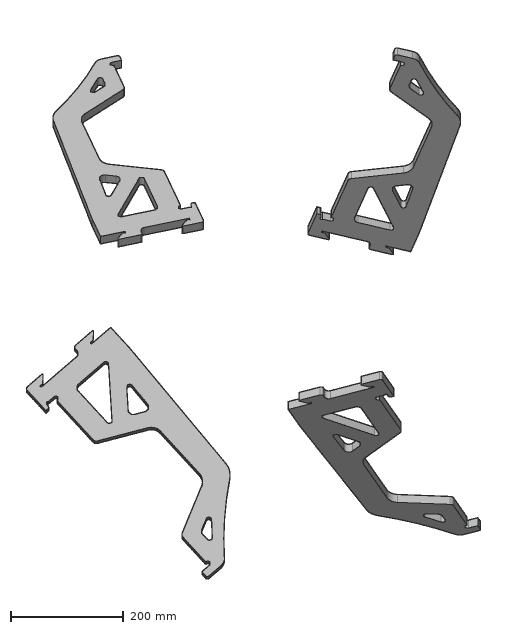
import cadquery as cq
import math

LENGTH = 475.0
HEIGHT = 188.0
THICKNESS = 18.0

SHELF_Y = 161.0
RECESS_FLOOR_Y = 61.0
RECESS_CENTER_X = 204.3
RECESS_FLOOR_WIDTH = 131.0
RECESS_WALL_ANGLE = math.atan(2.0)
RECESS_TOP_RADIUS = 8.0
RECESS_FLOOR_RADIUS = 22.0

LIP_WIDTH = 14.5
LIP_TOP_Y = 178.0
LIP_TOP_RADIUS = 4.0

STOP_X = 429.5
NOSE_REACH = 9.5
NOSE_TIP_Y = 180.6
NOSE_TIP_RADIUS = 3.0
NOSE_ROOT_Y = 177.0
NOSE_RELIEF_RADIUS = 2.5
NOSE_RELIEF_BITE = 1.3
NOSE_RELIEF_Y = 176.4

RELIEF_WIDTH = 8.5
RELIEF_DEPTH = 5.4

WALL_FACE_X = 458.0
HOOK_PITCH = 120.0
HOOK_SLOT_TOP_Y = 165.5
HOOK_SLOT_WIDTH = 3.0
HOOK_SLOT_DEPTH = 6.2
HOOK_LEAD_ANGLE = math.radians(45.0)
HOOK_TIP_RADIUS = 1.5
HOOK_SHOULDER_RADIUS = 4.5
LOWER_HOOK_TOP_Y = 73.5
LOWER_HOOK_ROOT_RADIUS = 8.0

FOOT_START_X = 408.0
UNDERSIDE_ANGLE = math.atan(0.05)
HOLLOW_CENTER = (-361.0, -337.0)
HOLLOW_RADIUS = 595.0
FOOT_BLEND_RADIUS = 80.0
HEEL_RADIUS = 31.0
LEFT_END_RADIUS = 20.0

NARROW_RIM = 30.0
WIDE_RIM = 40.0
BRACE_WIDTH = 30.0
BRACE_ANGLE = math.radians(38.3)
REAR_WINDOW_LOW_Y = 41.5
FRONT_WINDOW_LEFT_X = 38.8
FRONT_WINDOW_ANGLE = math.radians(39.7)
WINDOW_LARGE_RADIUS = 9.0
WINDOW_SMALL_RADIUS = 5.0

RECESS_HALF_FLOOR = RECESS_FLOOR_WIDTH / 2
RECESS_FLOOR_LEFT = (RECESS_CENTER_X - RECESS_HALF_FLOOR, RECESS_FLOOR_Y)
RECESS_FLOOR_RIGHT = (RECESS_CENTER_X + RECESS_HALF_FLOOR, RECESS_FLOOR_Y)
LEFT_WALL = (RECESS_FLOOR_LEFT, math.pi - RECESS_WALL_ANGLE)
RIGHT_WALL = (RECESS_FLOOR_RIGHT, RECESS_WALL_ANGLE)
UNDERSIDE = ((FOOT_START_X, 0.0), -UNDERSIDE_ANGLE)


def level(y):
    """Horizontal line pointing in +X."""
    return ((0.0, y), 0.0)


def upright(x):
    """Vertical line pointing in +Y."""
    return ((x, 0.0), math.pi / 2)


def offset(line, distance):
    """Parallel line, shifted to the right of its direction."""
    (x, y), angle = line
    return ((x + distance * math.sin(angle), y - distance * math.cos(angle)), angle)


def meet(line_a, line_b):
    """Point where two lines cross."""
    (ax, ay), angle_a = line_a
    (bx, by), angle_b = line_b
    gap_across_b = (bx - ax) * math.sin(angle_b) - (by - ay) * math.cos(angle_b)
    travel = gap_across_b / math.sin(angle_b - angle_a)
    return (ax + travel * math.cos(angle_a), ay + travel * math.sin(angle_a))


def meet_hollow(line):
    """Last point where a line crosses the hollow's circle."""
    (x, y), angle = line
    dx = x - HOLLOW_CENTER[0]
    dy = y - HOLLOW_CENTER[1]
    along = dx * math.cos(angle) + dy * math.sin(angle)
    across = dx * math.sin(angle) - dy * math.cos(angle)
    travel = math.sqrt(HOLLOW_RADIUS**2 - across**2) - along
    return (x + travel * math.cos(angle), y + travel * math.sin(angle))


def hollow_midpoint(start, end):
    """Point on the hollow's circle, halfway between two of its points."""
    cx, cy = HOLLOW_CENTER
    angle_start = math.atan2(start[1] - cy, start[0] - cx)
    angle_end = math.atan2(end[1] - cy, end[0] - cx)
    angle = (angle_start + angle_end) / 2
    return (cx + HOLLOW_RADIUS * math.cos(angle), cy + HOLLOW_RADIUS * math.sin(angle))


def round_corners(body, radius, corners):
    """Fillet the upright edges standing at the given corners."""
    for x, y in corners:
        edge = cq.selectors.NearestToPointSelector((x, y, THICKNESS / 2))
        body = body.edges("|Z").edges(edge).fillet(radius)
    return body


def hook_points(slot_top_y):
    """Slot and lead-in of one hook, from the wall face round to the outer face."""
    slot_outer_x = WALL_FACE_X + HOOK_SLOT_WIDTH
    lead_start_y = slot_top_y - HOOK_SLOT_DEPTH
    tip_y = lead_start_y - (LENGTH - slot_outer_x) * math.tan(HOOK_LEAD_ANGLE)
    return [
        (WALL_FACE_X, slot_top_y),
        (slot_outer_x, slot_top_y),
        (slot_outer_x, lead_start_y),
        (LENGTH, tip_y),
    ]


def foot_blend_point(turn):
    """Point on the arc between foot and slope, after turning by the given angle from the foot."""
    center_x = FOOT_START_X + FOOT_BLEND_RADIUS * math.tan(UNDERSIDE_ANGLE / 2)
    x = center_x - FOOT_BLEND_RADIUS * math.sin(turn)
    y = FOOT_BLEND_RADIUS * (1 - math.cos(turn))
    return (x, y)


def make_plate():
    """Solid plate with hooks and rounded corners, before reliefs and windows."""
    recess_top_left = meet(LEFT_WALL, level(SHELF_Y))
    recess_top_right = meet(RIGHT_WALL, level(SHELF_Y))
    nose_tip = (STOP_X - NOSE_REACH, NOSE_TIP_Y)
    upper_hook = hook_points(HOOK_SLOT_TOP_Y)
    lower_hook = hook_points(HOOK_SLOT_TOP_Y - HOOK_PITCH)
    lower_hook_root = (WALL_FACE_X, LOWER_HOOK_TOP_Y)
    lower_hook_shoulder = (LENGTH, LOWER_HOOK_TOP_Y)
    heel = meet_hollow(UNDERSIDE)
    left_end = meet_hollow(upright(0.0))

    outline = [
        (0.0, LIP_TOP_Y),
        (LIP_WIDTH, LIP_TOP_Y),
        (LIP_WIDTH, SHELF_Y),
        recess_top_left,
        RECESS_FLOOR_LEFT,
        RECESS_FLOOR_RIGHT,
        recess_top_right,
        (STOP_X, SHELF_Y),
        (STOP_X, NOSE_ROOT_Y),
        nose_tip,
        (nose_tip[0], HEIGHT),
        (LENGTH, HEIGHT),
        *reversed(upper_hook),
        lower_hook_root,
        lower_hook_shoulder,
        *reversed(lower_hook),
        (WALL_FACE_X, 0.0),
        foot_blend_point(0.0),
    ]
    plate = (
        cq.Workplane("XY")
        .polyline(outline)
        .threePointArc(foot_blend_point(UNDERSIDE_ANGLE / 2), foot_blend_point(UNDERSIDE_ANGLE))
        .lineTo(*heel)
        .threePointArc(hollow_midpoint(heel, left_end), left_end)
        .close()
        .extrude(THICKNESS)
    )

    rounding = [
        (LIP_TOP_RADIUS, [(0.0, LIP_TOP_Y)]),
        (NOSE_TIP_RADIUS, [nose_tip]),
        (RECESS_TOP_RADIUS, [recess_top_left, recess_top_right]),
        (RECESS_FLOOR_RADIUS, [RECESS_FLOOR_LEFT, RECESS_FLOOR_RIGHT]),
        (HOOK_SHOULDER_RADIUS, [(LENGTH, HEIGHT), lower_hook_shoulder]),
        (HOOK_TIP_RADIUS, [upper_hook[-1], lower_hook[-1]]),
        (LOWER_HOOK_ROOT_RADIUS, [lower_hook_root]),
        (HEEL_RADIUS, [heel]),
        (LEFT_END_RADIUS, [left_end]),
    ]
    for radius, corners in rounding:
        plate = round_corners(plate, radius, corners)
    return plate


def make_relief(center_x):
    """Slot cutter sunk into a shelf, with a half-round bottom."""
    radius = RELIEF_WIDTH / 2
    round_center_y = SHELF_Y - RELIEF_DEPTH + radius
    bottom = cq.Workplane("XY").center(center_x, round_center_y).circle(radius).extrude(THICKNESS)
    mouth = (
        cq.Workplane("XY")
        .center(center_x, round_center_y + radius / 2)
        .rect(RELIEF_WIDTH, radius)
        .extrude(THICKNESS)
    )
    return bottom.union(mouth)


def make_nose_relief():
    """Round clearance in the inner corner under the nose."""
    center_x = STOP_X + NOSE_RELIEF_BITE - NOSE_RELIEF_RADIUS
    return cq.Workplane("XY").center(center_x, NOSE_RELIEF_Y).circle(NOSE_RELIEF_RADIUS).extrude(THICKNESS)


def make_window(sharp_corners, wide_corners):
    """Triangular cutter; its sharp corners get the small radius, its wide ones the large."""
    window = cq.Workplane("XY").polyline(sharp_corners + wide_corners).close().extrude(THICKNESS)
    window = round_corners(window, WINDOW_SMALL_RADIUS, sharp_corners)
    return round_corners(window, WINDOW_LARGE_RADIUS, wide_corners)


def make_front_window():
    """Window in the left arm, between the shelf, the recess wall and the hollow."""
    top = level(SHELF_Y - NARROW_RIM)
    wall = offset(LEFT_WALL, -NARROW_RIM)
    top_left = (FRONT_WINDOW_LEFT_X, SHELF_Y - NARROW_RIM)
    slant = (top_left, -FRONT_WINDOW_ANGLE)
    return make_window([top_left, meet(slant, wall)], [meet(top, wall)])


def make_rear_windows():
    """Two windows behind the recess, parted by a slanting brace."""
    right_x = WALL_FACE_X - WIDE_RIM
    top = level(SHELF_Y - WIDE_RIM)
    upper_low = (right_x, REAR_WINDOW_LOW_Y)
    brace_upper = (upper_low, -BRACE_ANGLE)
    brace_lower = offset(brace_upper, BRACE_WIDTH)
    wall = offset(RIGHT_WALL, NARROW_RIM)
    floor = offset(UNDERSIDE, -WIDE_RIM)

    upper = make_window([meet(top, brace_upper), upper_low], [meet(top, upright(right_x))])
    lower = make_window([meet(floor, brace_lower)], [meet(floor, wall), meet(wall, brace_lower)])
    return upper.union(lower)


result = make_plate()
result = result.cut(make_relief(LIP_WIDTH + RELIEF_WIDTH / 2))
result = result.cut(make_relief(STOP_X - RELIEF_WIDTH / 2))
result = result.cut(make_nose_relief())
result = result.cut(make_front_window())
result = result.cut(make_rear_windows())